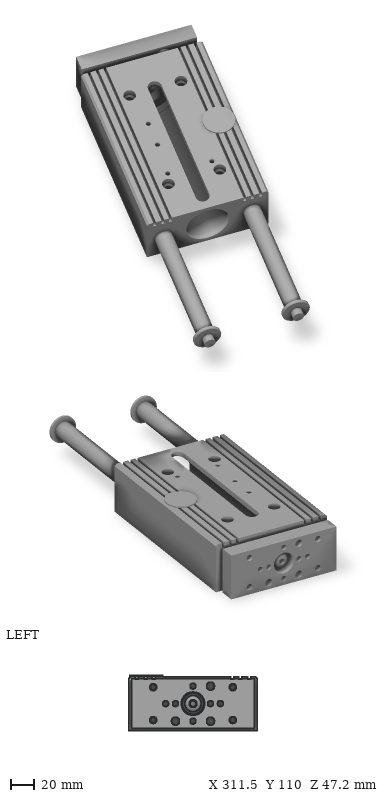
import cadquery as cq
import math

total_length = 311.5

housing_start = 21.0
housing_end = 191.0
housing_width = 110.0
housing_height = 46.0
top_chamfer = 2.0
axis_height = housing_height / 2

groove_offsets = (33.5, 40.5, 48.0)
groove_width = 2.5
groove_depth = 5.0

badge_diameter = 28.0
badge_thickness = 1.2
badge_x = 106.0
badge_y = 40.0

mount_xs = (55.5, 155.8)
mount_spread = 46.5
mount_hole_diameter = 6.5
mount_counterbore_diameter = 11.0
mount_counterbore_depth = 6.5

tapped_places = ((89.0, -18.0), (112.8, -18.0), (145.0, -20.0), (145.0, 20.0))
tapped_mouth_diameter = 5.0
tapped_hole_diameter = 4.0
tapped_hole_depth = 7.8
drill_point_angle = 118.0

slot_start = 48.0
slot_end = 183.5
slot_width = 12.0
bore_start = 51.7
bore_diameter = 38.5
neck_start = 45.5
neck_diameter = 37.5

bumper_diameter = 12.0
bumper_rounding = 0.5
bumper_y = 21.5
bumper_z = 35.2

plate_thickness = 14.3
plate_width = 104.5
plate_height = 42.5

guide_spacing = 80.0
guide_height_step = 2.5
guide_diameter = 16.0
flange_start = 302.5
flange_end = 305.3
flange_diameter = 25.0
flange_chamfer = 0.47
stub_diameter = 10.0

piston_rod_diameter = 16.0
piston_rod_end = 37.5
piston_collar_diameter = 18.5
piston_collar_end = 20.2

plate_bore_diameter = 18.5
plate_bore_mouth_diameter = 20.0
plate_bore_depth = 7.0
screw_head_diameter = 14.0
screw_head_height = 3.7
screw_crown_diameter = 6.5
screw_dome_bulge = 0.5
socket_size = 5.0
socket_depth = 2.5

pattern_offset = 15.0
outer_hole_y = 23.5
plate_hole_diameter = 5.0
dowel_diameter = 7.0
plate_hole_depth = 9.5
corner_hole_y = 34.0
corner_hole_z = 14.0
corner_mouth_diameter = 6.0

guide_axes = [
    (side * guide_spacing / 2, axis_height + side * guide_height_step / 2)
    for side in (-1, 1)
]


def x_cylinder(diameter, x_from, x_to, y=0.0, z=axis_height):
    """Cylinder along X between two X stations."""
    return (
        cq.Workplane("YZ", origin=(x_from, y, z))
        .circle(diameter / 2)
        .extrude(x_to - x_from)
    )


def tapped_hole():
    """Cutter for a hole down from the origin, with a chamfered mouth and a drill-point bottom."""
    mouth_radius = tapped_mouth_diameter / 2
    radius = tapped_hole_diameter / 2
    point_length = radius / math.tan(math.radians(drill_point_angle / 2))
    return (
        cq.Workplane("XZ")
        .polyline([
            (0, 0),
            (mouth_radius, 0),
            (radius, radius - mouth_radius),
            (radius, -tapped_hole_depth),
            (0, -tapped_hole_depth - point_length),
        ])
        .close()
        .revolve(360, (0, 0, 0), (0, 1, 0))
    )


def housing_block():
    """Extruded profile with chamfered top edges and grooves along both sides of its top."""
    length = housing_end - housing_start
    block = (
        cq.Workplane("XY", origin=(housing_start, 0, 0))
        .box(length, housing_width, housing_height, centered=(False, True, False))
        .edges("|X and >Z")
        .chamfer(top_chamfer)
    )
    groove_floor = housing_height - groove_depth
    for offset in groove_offsets:
        for side in (-1, 1):
            groove = (
                cq.Workplane("XY", origin=(housing_start, side * offset, groove_floor))
                .box(length, groove_width, groove_depth, centered=(False, True, False))
            )
            block = block.cut(groove)
    return block


def make_housing():
    housing = housing_block()

    badge = (
        cq.Workplane("XY", origin=(badge_x, badge_y, housing_height))
        .circle(badge_diameter / 2)
        .extrude(badge_thickness)
    )
    housing = housing.union(badge)

    bumper = (
        x_cylinder(bumper_diameter, plate_thickness, housing_start, bumper_y, bumper_z)
        .faces("<X")
        .edges()
        .fillet(bumper_rounding)
    )
    housing = housing.union(bumper)

    mount_points = [(x, side * mount_spread / 2) for x in mount_xs for side in (-1, 1)]
    top = cq.Workplane("XY", origin=(0, 0, housing_height)).pushPoints(mount_points)
    housing = housing.cut(top.circle(mount_hole_diameter / 2).extrude(-housing_height))
    housing = housing.cut(top.circle(mount_counterbore_diameter / 2).extrude(-mount_counterbore_depth))

    for x, y in tapped_places:
        housing = housing.cut(tapped_hole().translate((x, y, housing_height)))

    housing = housing.cut(x_cylinder(bore_diameter, bore_start, housing_end))
    housing = housing.cut(x_cylinder(neck_diameter, neck_start, bore_start))
    slot = (
        cq.Workplane("XY", origin=((slot_start + slot_end) / 2, 0, axis_height))
        .slot2D(slot_end - slot_start, slot_width)
        .extrude(housing_height - axis_height)
    )
    housing = housing.cut(slot)

    housing = housing.cut(x_cylinder(piston_rod_diameter, housing_start, neck_start))
    for y, z in guide_axes:
        housing = housing.cut(x_cylinder(guide_diameter, housing_start, housing_end, y, z))
    return housing


def guide_rod(y, z):
    """Guide rod with a stop flange and a short stub at its free end."""
    rod = x_cylinder(guide_diameter, plate_thickness, flange_start, y, z)
    flange = (
        x_cylinder(flange_diameter, flange_start, flange_end, y, z)
        .faces(">X")
        .chamfer(flange_chamfer)
    )
    stub = x_cylinder(stub_diameter, flange_end, total_length, y, z)
    return rod.union(flange).union(stub)


def plate_holes(points, diameter, depth):
    """Blind holes in the tooling face, placed by (Y, Z) from the plate centre."""
    return (
        cq.Workplane("YZ", origin=(0, 0, axis_height))
        .pushPoints(points)
        .circle(diameter / 2)
        .extrude(depth)
    )


def mouth_chamfer(mouth_diameter, hole_diameter, y, z):
    """45 degree cone that chamfers the mouth of a hole in the tooling face."""
    depth = (mouth_diameter - hole_diameter) / 2
    cone = cq.Solid.makeCone(
        mouth_diameter / 2, hole_diameter / 2, depth, cq.Vector(0, y, z), cq.Vector(1, 0, 0)
    )
    return cq.Workplane(cone)


def screw_head():
    """Domed screw head with a hexagon socket, seated in the plate bore."""
    crown_x = plate_bore_depth - screw_head_height
    head_radius = screw_head_diameter / 2
    crown_radius = screw_crown_diameter / 2
    dome_x = (crown_x + plate_bore_depth) / 2 - screw_dome_bulge
    dome_radius = (head_radius + crown_radius) / 2 + screw_dome_bulge
    head = (
        cq.Workplane("XY")
        .moveTo(plate_bore_depth, 0)
        .lineTo(plate_bore_depth, head_radius)
        .threePointArc((dome_x, dome_radius), (crown_x, crown_radius))
        .lineTo(crown_x, 0)
        .close()
        .revolve(360, (0, 0, 0), (1, 0, 0))
        .translate((0, 0, axis_height))
    )
    socket = (
        cq.Workplane("YZ", origin=(crown_x, 0, axis_height))
        .polygon(6, socket_size, circumscribed=True)
        .extrude(socket_depth)
    )
    return head.cut(socket)


def make_slide():
    slide = (
        cq.Workplane("XY", origin=(0, 0, axis_height))
        .box(plate_thickness, plate_width, plate_height, centered=(False, True, True))
    )

    small_points = [(0, pattern_offset), (0, -pattern_offset)]
    for side in (-1, 1):
        small_points += [(side * pattern_offset, 0), (side * outer_hole_y, 0)]
    dowel_points = [
        (-pattern_offset, pattern_offset),
        (-pattern_offset, -pattern_offset),
        (pattern_offset, -pattern_offset),
    ]
    corner_points = [
        (y_side * corner_hole_y, z_side * corner_hole_z)
        for y_side in (-1, 1) for z_side in (-1, 1)
    ]
    slide = slide.cut(plate_holes(small_points, plate_hole_diameter, plate_hole_depth))
    slide = slide.cut(plate_holes(dowel_points, dowel_diameter, plate_hole_depth))
    slide = slide.cut(plate_holes(corner_points, plate_hole_diameter, plate_hole_depth))
    for y, z in corner_points:
        mouth = mouth_chamfer(corner_mouth_diameter, plate_hole_diameter, y, axis_height + z)
        slide = slide.cut(mouth)

    slide = slide.cut(x_cylinder(plate_bore_diameter, 0, plate_bore_depth))
    slide = slide.cut(mouth_chamfer(plate_bore_mouth_diameter, plate_bore_diameter, 0, axis_height))
    slide = slide.union(screw_head())

    slide = slide.union(x_cylinder(piston_collar_diameter, plate_thickness, piston_collar_end))
    slide = slide.union(x_cylinder(piston_rod_diameter, plate_thickness, piston_rod_end))
    for y, z in guide_axes:
        slide = slide.union(guide_rod(y, z))
    return slide


housing = make_housing()
slide = make_slide()

result = cq.Compound.makeCompound([housing.val(), slide.val()])